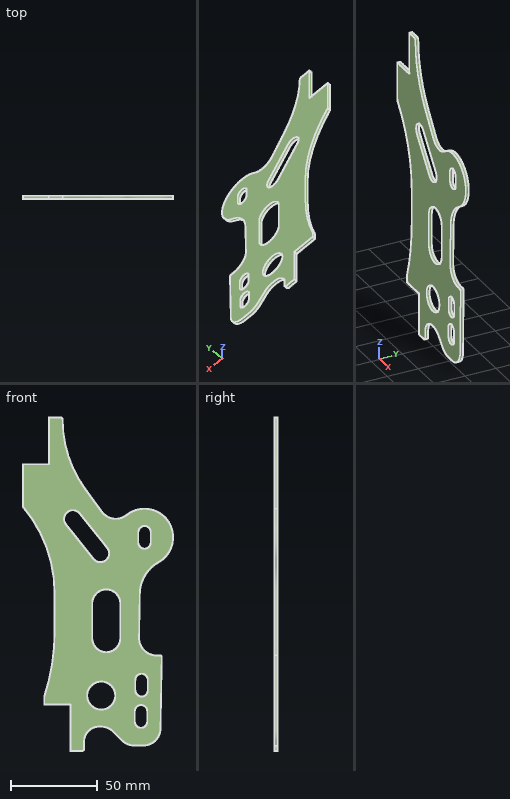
import cadquery as cq
import math

thickness = 2.0
height = 192.0
overall_width = 86.51

tab_width = 8.0
tab_length = 26.85
shoulder_width = 15.0
lower_shoulder_x = 12.3
tab_corner_radius = 1.5
lower_shoulder_z = tab_length
upper_shoulder_z = height - tab_length
lower_tab_x = lower_shoulder_x + shoulder_width
upper_tab_right = shoulder_width + tab_width
lower_tab_right = lower_tab_x + tab_width

waist_x = 18.2
upper_left_z = 140.6
upper_waist_z = 91.0
lower_waist_z = 68.5
lower_edge_z = 31.5

arm_arc_radius = 67.0
arm_arc_start_z = 190.4
arm_slope = math.radians(36.0)
arm_slope_length = 33.0
arm_fillet_radius = 10.0

boss_radius = 16.5
boss_x = overall_width - boss_radius
boss_z = 123.0
boss_neck_radius = 20.8

lean = math.radians(1.0)
foot_top_z = 55.1
foot_bottom_z = 3.2
foot_right_x = 80.0
foot_left_x = 60.0
foot_corner_radius = 10.0
foot_top_corner_radius = 1.0
neck_foot_x = 66.75
neck_foot_radius = 10.0

notch_top_z = 14.1
notch_slope = math.radians(45.0)
notch_right_x = foot_left_x - (notch_top_z - foot_bottom_z) / math.tan(notch_slope)
notch_corner_radius = 8.5
notch_slope_radius = 10.0

round_hole_diameter = 16.0
round_hole_x = 45.1
round_hole_z = 32.0
large_slot_width = 16.0
large_slot_length = 36.0
large_slot_x = 48.0
large_slot_z = 75.0
angled_slot_width = 10.0
angled_slot_length = 35.3
angled_slot_x = 36.7
angled_slot_z = 123.65
angled_slot_angle = 90 + 38.7
bolt_slot_width = 7.0
bolt_slot_length = 13.0
foot_slot_x = 68.3
foot_slot_z = 38.0
foot_slot_spacing = 18.0


def leaning_x(top_x, drop):
    """X reached by a leaning edge after going down by `drop`."""
    return top_x - drop * math.tan(lean)


def tangent_arc_radius(along, across):
    """Radius of an arc that leaves a straight edge smoothly and moves `across` over `along`."""
    return (along**2 + across**2) / (2 * across)


def plate_workplane():
    """Workplane whose local Y is global Z; extruding goes toward -Y."""
    return cq.Workplane("XZ")


def make_body():
    """Plate without the boss, with the corners to be rounded left sharp."""
    arm_arc_end = (
        upper_tab_right + arm_arc_radius * (1 - math.cos(arm_slope)),
        arm_arc_start_z - arm_arc_radius * math.sin(arm_slope),
    )
    arm_arc_middle = (
        upper_tab_right + arm_arc_radius * (1 - math.cos(arm_slope / 2)),
        arm_arc_start_z - arm_arc_radius * math.sin(arm_slope / 2),
    )
    arm_end = (
        arm_arc_end[0] + arm_slope_length * math.sin(arm_slope),
        arm_arc_end[1] - arm_slope_length * math.cos(arm_slope),
    )
    neck_x = neck_foot_x + (arm_end[1] - foot_top_z) * math.tan(lean)
    lower_arc_radius = tangent_arc_radius(lower_waist_z - lower_edge_z, waist_x - lower_shoulder_x)
    upper_arc_radius = tangent_arc_radius(upper_left_z - upper_waist_z, waist_x)
    return (
        plate_workplane()
        .moveTo(shoulder_width, height)
        .lineTo(upper_tab_right, height)
        .lineTo(upper_tab_right, arm_arc_start_z)
        .threePointArc(arm_arc_middle, arm_arc_end)
        .lineTo(*arm_end)
        .lineTo(neck_x, arm_end[1])
        .lineTo(neck_foot_x, foot_top_z)
        .lineTo(foot_right_x, foot_top_z)
        .lineTo(leaning_x(foot_right_x, foot_top_z - foot_bottom_z), foot_bottom_z)
        .lineTo(foot_left_x, foot_bottom_z)
        .lineTo(notch_right_x, notch_top_z)
        .lineTo(lower_tab_right, notch_top_z)
        .lineTo(lower_tab_right, 0)
        .lineTo(lower_tab_x, 0)
        .lineTo(lower_tab_x, lower_shoulder_z)
        .lineTo(lower_shoulder_x, lower_shoulder_z)
        .lineTo(lower_shoulder_x, lower_edge_z)
        .radiusArc((waist_x, lower_waist_z), -lower_arc_radius)
        .lineTo(waist_x, upper_waist_z)
        .radiusArc((0, upper_left_z), -upper_arc_radius)
        .lineTo(0, upper_shoulder_z)
        .lineTo(shoulder_width, upper_shoulder_z)
        .close()
        .extrude(thickness)
    )


def make_boss():
    return plate_workplane().center(boss_x, boss_z).circle(boss_radius).extrude(thickness)


def round_corner(plate, x, z, radius):
    """Round the through-thickness edge nearest to (x, z)."""
    nearest = cq.NearestToPointSelector((x, -thickness / 2, z))
    return plate.edges("|Y").edges(nearest).fillet(radius)


def round_corners(plate):
    foot_bottom_right_x = leaning_x(foot_right_x, foot_top_z - foot_bottom_z)
    corners = (
        (upper_tab_right, height, tab_corner_radius),
        (lower_tab_right, 0, tab_corner_radius),
        (boss_x - boss_radius, boss_z, arm_fillet_radius),
        (boss_x, boss_z - boss_radius, boss_neck_radius),
        (neck_foot_x, foot_top_z, neck_foot_radius),
        (foot_right_x, foot_top_z, foot_top_corner_radius),
        (foot_bottom_right_x, foot_bottom_z, foot_corner_radius),
        (foot_left_x, foot_bottom_z, foot_corner_radius),
        (notch_right_x, notch_top_z, notch_slope_radius),
        (lower_tab_right, notch_top_z, notch_corner_radius),
    )
    for x, z, radius in corners:
        plate = round_corner(plate, x, z, radius)
    return plate


def cut_slot(plate, x, z, length, width, angle=90):
    """Cut a round-ended slot; `angle` is measured in degrees from +X toward +Z."""
    slot = plate_workplane().center(x, z).slot2D(length, width, angle).extrude(thickness)
    return plate.cut(slot)


def cut_openings(plate):
    hole = plate_workplane().center(round_hole_x, round_hole_z).circle(round_hole_diameter / 2)
    plate = plate.cut(hole.extrude(thickness))
    plate = cut_slot(plate, large_slot_x, large_slot_z, large_slot_length, large_slot_width)
    plate = cut_slot(
        plate, angled_slot_x, angled_slot_z, angled_slot_length, angled_slot_width, angled_slot_angle
    )
    plate = cut_slot(plate, boss_x, boss_z, bolt_slot_length, bolt_slot_width)
    for drop in (0, foot_slot_spacing):
        slot_x = leaning_x(foot_slot_x, drop)
        plate = cut_slot(plate, slot_x, foot_slot_z - drop, bolt_slot_length, bolt_slot_width)
    return plate


result = cut_openings(round_corners(make_body().union(make_boss())))